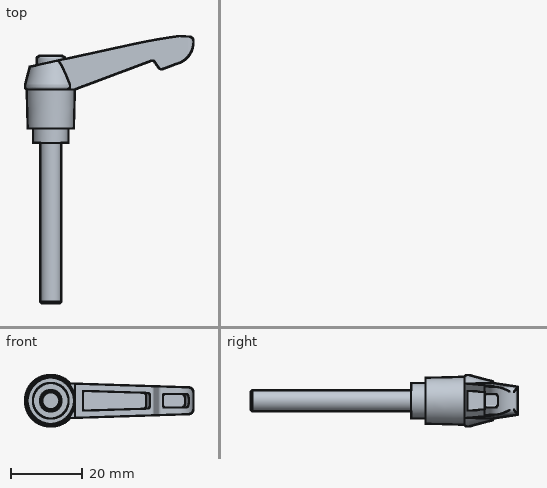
import cadquery as cq
import math


stud_diameter = 6.0
stud_length = 45.0
stud_chamfer = 0.6
collar_diameter = 10.0
collar_length = 4.0

skirt_end_radius = 6.5
skirt_top_radius = 6.8
rim_radius = 7.25
rim_rounding = 0.7
shoulder_y = 15.0
rim_bottom_y = shoulder_y + rim_rounding
rim_top_y = 16.3
cap_slope = 0.267

button_diameter = 8.0
button_top_y = 24.5
button_cone_start = (3.75, 24.05)
button_flat_radius = 3.0
button_side_top_y = 23.6

top_slope = 0.219
top_axis_y = 22.67
top_arc_start_x = 23.0
crest = (36.0, 30.0)
bevel_top = (38.4, 29.85)
tip_top = (39.7, 29.35)
tip_x = 40.0
tip_y = 28.0
belly_mid = (38.5, 24.2)
belly_start = (35.1, 22.1)
nose = (30.65, 20.42)
nose_rounding = 0.95
notch_top = (28.7, 23.2)
notch_rounding = 0.6
underside_start_x = 6.83
underside_slope = 0.371

half_thickness_at_axis = 5.05
half_thickness_slope = 0.0325
tip_corner_radius = 1.5

long_pocket_x = (9.0, 27.8)
long_pocket_half_widths = (2.8, 2.2)
long_pocket_roundings = (0.5, 0.8)
long_pocket_floor_drop = 2.8
short_pocket_near = (31.35, 20.9)
short_pocket_far = (38.65, 24.4)
short_pocket_half_width = 1.92
short_pocket_roundings = (0.7, 1.1)
short_pocket_floor_drop = 3.7
pocket_entry_clearance = 1.0

margin = 10.0


def top_edge_y(x):
    return top_axis_y + top_slope * x


def half_thickness(x):
    return half_thickness_at_axis - half_thickness_slope * x


def hub_body():
    """Skirt, rim and cap turned about Y, with the cap cut along the slope of the lever's top."""
    cap_end_y = button_top_y + margin
    cap_end_radius = rim_radius - cap_slope * (cap_end_y - rim_top_y)
    rim_corner = rim_rounding * math.sqrt(0.5)
    rim_centre_radius = rim_radius - rim_rounding
    hub = (
        cq.Workplane("XY")
        .moveTo(0, collar_length)
        .lineTo(skirt_end_radius, collar_length)
        .lineTo(skirt_top_radius, shoulder_y)
        .threePointArc(
            (rim_centre_radius + rim_corner, rim_bottom_y - rim_corner),
            (rim_radius, rim_bottom_y),
        )
        .lineTo(rim_radius, rim_top_y)
        .lineTo(cap_end_radius, cap_end_y)
        .lineTo(0, cap_end_y)
        .close()
        .revolve(360, (0, 0, 0), (0, 1, 0))
    )
    reach = rim_radius + margin
    below_top = (
        cq.Workplane("XY")
        .polyline([(-reach, 0), (reach, 0), (reach, top_edge_y(reach)), (-reach, top_edge_y(-reach))])
        .close()
        .extrude(reach, both=True)
    )
    return hub.intersect(below_top)


def cylinder_along_y(diameter, start_y, end_y):
    return cq.Workplane("XZ", origin=(0, start_y, 0)).circle(diameter / 2).extrude(start_y - end_y)


def stud_and_collar():
    stud = cylinder_along_y(stud_diameter, -stud_length, collar_length)
    stud = stud.faces("<Y").chamfer(stud_chamfer)
    return stud.union(cylinder_along_y(collar_diameter, 0, shoulder_y))


def button():
    """Round post whose edge rounds into a shallow cone below the flat top."""
    button_radius = button_diameter / 2
    return (
        cq.Workplane("XY")
        .moveTo(0, shoulder_y)
        .lineTo(button_radius, shoulder_y)
        .lineTo(button_radius, button_side_top_y)
        .tangentArcPoint(button_cone_start, relative=False)
        .lineTo(button_flat_radius, button_top_y)
        .lineTo(0, button_top_y)
        .close()
        .revolve(360, (0, 0, 0), (0, 1, 0))
    )


def lever():
    """Side outline of the lever, trimmed to its tapered and round-cornered plan in XZ."""
    side = (
        cq.Workplane("XY")
        .moveTo(0, shoulder_y)
        .lineTo(0, top_edge_y(0))
        .lineTo(top_arc_start_x, top_edge_y(top_arc_start_x))
        .tangentArcPoint(crest, relative=False)
        .lineTo(*bevel_top)
        .threePointArc(tip_top, (tip_x, tip_y))
        .threePointArc(belly_mid, belly_start)
        .lineTo(*nose)
        .lineTo(*notch_top)
        .lineTo(underside_start_x, shoulder_y)
        .close()
        .extrude(margin, both=True)
    )
    for corner, rounding in ((nose, nose_rounding), (notch_top, notch_rounding)):
        picker = cq.selectors.NearestToPointSelector((corner[0], corner[1], 0))
        side = side.edges("|Z").edges(picker).fillet(rounding)
    plan = (
        cq.Workplane("XZ")
        .polyline(
            [
                (0, -half_thickness(0)),
                (tip_x, -half_thickness(tip_x)),
                (tip_x, half_thickness(tip_x)),
                (0, half_thickness(0)),
            ]
        )
        .close()
        .extrude(-(crest[1] + margin))
        .edges("|Y and >X")
        .fillet(tip_corner_radius)
    )
    return side.intersect(plan)


def pocket(near_mouth, far_mouth, half_widths, roundings, floor_drop):
    """Tapered pocket square to the underside, with its floor parallel to the lever's top edge."""
    tilt = math.atan(underside_slope)

    def along(point):
        return point[0] * math.cos(tilt) + point[1] * math.sin(tilt)

    near_half_width, far_half_width = half_widths
    near_rounding, far_rounding = roundings
    near_u = along(near_mouth)
    far_u = along(far_mouth)
    near_height = near_mouth[1] * math.cos(tilt) - near_mouth[0] * math.sin(tilt)
    entry_height = near_height - pocket_entry_clearance
    prism = (
        cq.Workplane(
            cq.Plane(
                origin=(0, 0, 0),
                xDir=(math.cos(tilt), math.sin(tilt), 0),
                normal=(-math.sin(tilt), math.cos(tilt), 0),
            )
        )
        .workplane(offset=entry_height)
        .polyline(
            [
                (near_u, -near_half_width),
                (far_u, -far_half_width),
                (far_u, far_half_width),
                (near_u, near_half_width),
            ]
        )
        .close()
        .extrude(2 * margin)
    )
    upright = cq.selectors.ParallelDirSelector(cq.Vector(-math.sin(tilt), math.cos(tilt), 0))
    prism = prism.edges(upright).edges("<X").fillet(near_rounding)
    prism = prism.edges(upright).edges(">X").fillet(far_rounding)
    below_floor = (
        cq.Workplane("XY")
        .polyline(
            [
                (0, 0),
                (tip_x, 0),
                (tip_x, top_edge_y(tip_x) - floor_drop),
                (0, top_edge_y(0) - floor_drop),
            ]
        )
        .close()
        .extrude(margin, both=True)
    )
    return prism.intersect(below_floor)


def underside_point(x):
    return (x, shoulder_y + underside_slope * (x - underside_start_x))


def long_pocket():
    near_x, far_x = long_pocket_x
    return pocket(
        underside_point(near_x),
        underside_point(far_x),
        long_pocket_half_widths,
        long_pocket_roundings,
        long_pocket_floor_drop,
    )


def short_pocket():
    return pocket(
        short_pocket_near,
        short_pocket_far,
        (short_pocket_half_width, short_pocket_half_width),
        short_pocket_roundings,
        short_pocket_floor_drop,
    )


handle = hub_body().union(lever()).cut(long_pocket()).cut(short_pocket())
result = handle.union(button()).union(stud_and_collar())